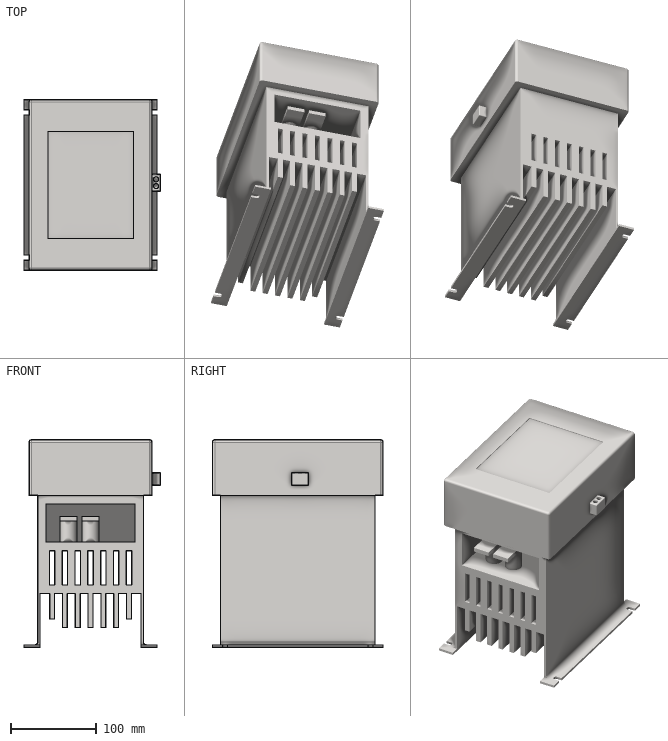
import cadquery as cq
BODY_WIDTH = 124.0
BODY_LENGTH = 181.0
SHEET = 3.0
WALL = 10.0

HOOD_WIDTH = 144.0
HOOD_LENGTH = 200.0
HOOD_BOTTOM = 178.0
HOOD_TOP = 243.0
HOOD_ROUNDING = 3.0
SCREEN_WIDTH = 100.0
SCREEN_LENGTH = 125.0
SCREEN_DEPTH = 1.0

FOOT_OVERHANG = 16.0
FOOT_LENGTH = 200.0
BEND_RADIUS = 3.0
SLOT_WIDTH = 6.0
SLOT_DEPTH = 9.0
SLOT_END_MARGIN = 15.0

SINK_BOTTOM = 63.0
SINK_TOP = 123.0
FIN_COUNT = 7
FIN_PITCH = 15.0
FIN_THICKNESS = 6.0
INNER_FIN_HEIGHT = 40.0
OUTER_FIN_HEIGHT = 30.0

TERMINAL_CENTRES_X = (-26.0, 0.0)
POST_DIAMETER = 20.0
POST_HEIGHT = 25.0
POST_SETBACK = 30.0
BAR_THICKNESS = 5.0

PLUG_REACH = 10.0
PLUG_LENGTH = 20.0
PLUG_BOTTOM = 189.5
PLUG_HEIGHT = 15.0
PLUG_CENTRE_Y = 2.7
PLUG_ROUNDING = 1.0
PLUG_HOLE_OFFSET = 0.3
PLUG_HOLE_DIAMETER = 6.0
PLUG_HOLE_PITCH = 8.0
PLUG_HOLE_DEPTH = 10.0

FRONT_Y = -BODY_LENGTH / 2


def box(width, length, z_bottom, z_top, x=0.0, y=0.0):
    """Box centred on (x, y) between two heights."""
    return (
        cq.Workplane("XY", origin=(x, y, z_bottom))
        .rect(width, length)
        .extrude(z_top - z_bottom)
    )


def make_body():
    """Block on the heat sink, with a cavity open to the front."""
    body = box(BODY_WIDTH, BODY_LENGTH, SINK_BOTTOM, HOOD_BOTTOM)
    cavity_length = BODY_LENGTH - WALL
    cavity = box(
        BODY_WIDTH - 2 * WALL,
        cavity_length,
        SINK_TOP,
        HOOD_BOTTOM - WALL,
        y=FRONT_Y + cavity_length / 2,
    )
    return body.cut(cavity)


def fin_centres():
    return [(i - (FIN_COUNT - 1) / 2) * FIN_PITCH for i in range(FIN_COUNT)]


def add_fins(body):
    """Hang the fins below the block; the two outermost are shorter."""
    centres = fin_centres()
    for x in centres:
        is_outer = x in (centres[0], centres[-1])
        height = OUTER_FIN_HEIGHT if is_outer else INNER_FIN_HEIGHT
        fin = box(FIN_THICKNESS, BODY_LENGTH, SINK_BOTTOM - height, SINK_BOTTOM, x=x)
        body = body.union(fin)
    return body


def cut_air_slots(body):
    """Air channels through the full length of the block, one above each fin."""
    for x in fin_centres():
        channel = box(FIN_THICKNESS, BODY_LENGTH, SINK_BOTTOM + WALL, SINK_TOP - WALL, x=x)
        body = body.cut(channel)
    return body


def make_side_plate():
    """Bent side sheet on the +X side: upright leg, filleted bend and slotted foot."""
    leg_outer = BODY_WIDTH / 2
    leg_inner = leg_outer - SHEET
    foot_outer = leg_outer + FOOT_OVERHANG
    upright = (
        cq.Workplane("XZ", origin=(0, BODY_LENGTH / 2, 0))
        .moveTo(leg_inner, 0)
        .lineTo(leg_outer + BEND_RADIUS, 0)
        .lineTo(leg_outer + BEND_RADIUS, SHEET)
        .radiusArc((leg_outer, SHEET + BEND_RADIUS), BEND_RADIUS)
        .lineTo(leg_outer, SINK_BOTTOM)
        .lineTo(leg_inner, SINK_BOTTOM)
        .close()
        .extrude(BODY_LENGTH)
    )
    foot = box(foot_outer - leg_inner, FOOT_LENGTH, 0, SHEET, x=(foot_outer + leg_inner) / 2)
    plate = upright.union(foot)
    slot_y = FOOT_LENGTH / 2 - SLOT_END_MARGIN
    slots = (
        cq.Workplane("XY")
        .pushPoints([(foot_outer, slot_y), (foot_outer, -slot_y)])
        .slot2D(2 * SLOT_DEPTH, SLOT_WIDTH)
        .extrude(SHEET)
    )
    return plate.cut(slots)


def make_hood():
    """Rounded cover with a shallow rectangular screen recess on top."""
    hood = box(HOOD_WIDTH, HOOD_LENGTH, HOOD_BOTTOM, HOOD_TOP)
    hood = hood.edges("|Z or >Z").fillet(HOOD_ROUNDING)
    screen = box(SCREEN_WIDTH, SCREEN_LENGTH, HOOD_TOP - SCREEN_DEPTH, HOOD_TOP)
    return hood.cut(screen)


def make_terminal(x):
    """Round post carrying a flat bar that reaches forward to the body front."""
    post_y = FRONT_Y + POST_SETBACK
    post_top = SINK_TOP + POST_HEIGHT
    post = (
        cq.Workplane("XY", origin=(x, post_y, SINK_TOP))
        .circle(POST_DIAMETER / 2)
        .extrude(POST_HEIGHT)
    )
    bar_length = POST_SETBACK + POST_DIAMETER / 2
    bar = box(
        POST_DIAMETER,
        bar_length,
        post_top,
        post_top + BAR_THICKNESS,
        x=x,
        y=FRONT_Y + bar_length / 2,
    )
    return post.union(bar)


def make_plug():
    """Rounded plug block with two blind wire holes in its top."""
    plug_x = (HOOD_WIDTH + PLUG_REACH) / 2
    plug_top = PLUG_BOTTOM + PLUG_HEIGHT
    plug = box(PLUG_REACH, PLUG_LENGTH, PLUG_BOTTOM, plug_top, x=plug_x, y=PLUG_CENTRE_Y)
    plug = plug.faces("<Y or >Y or >X").edges().fillet(PLUG_ROUNDING)
    hole_x = plug_x - PLUG_HOLE_OFFSET
    holes = (
        cq.Workplane("XY", origin=(hole_x, PLUG_CENTRE_Y, plug_top - PLUG_HOLE_DEPTH))
        .rarray(1, PLUG_HOLE_PITCH, 1, 2)
        .circle(PLUG_HOLE_DIAMETER / 2)
        .extrude(PLUG_HOLE_DEPTH)
    )
    return plug.cut(holes)


result = cut_air_slots(add_fins(make_body()))
side_plate = make_side_plate()
result = result.union(side_plate).union(side_plate.mirror("YZ"))
result = result.union(make_hood()).union(make_plug())
for terminal_x in TERMINAL_CENTRES_X:
    result = result.union(make_terminal(terminal_x))